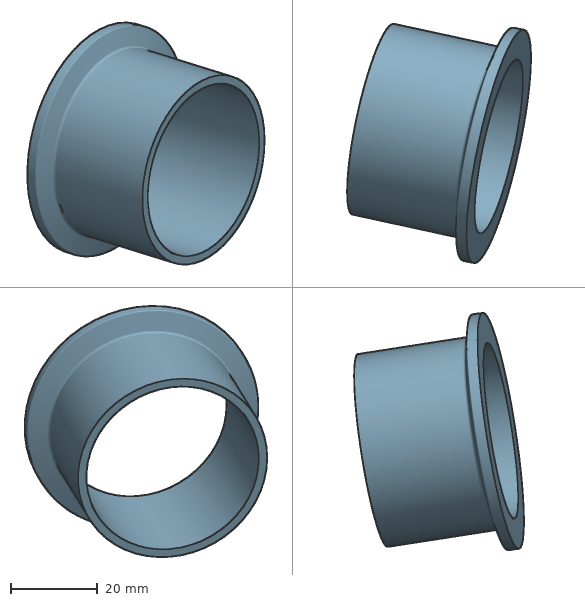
import cadquery as cq
import math

length = 30.0
flange_diameter = 55
tube_diameter = 45.0
bore_diameter = 41.0

rim_width = 2.55
cone_angle = 15
rim_fillet = 0.35
root_fillet = 0.55

flange_radius = flange_diameter / 2
tube_radius = tube_diameter / 2
bore_radius = bore_diameter / 2
cone_end = rim_width + (flange_radius - tube_radius) * math.tan(math.radians(cone_angle))


def flanged_tube():
    """Revolve the half section (axial X, radial Y) about the X axis."""
    section = (
        cq.Workplane("XY")
        .moveTo(0, bore_radius)
        .lineTo(0, flange_radius)
        .lineTo(rim_width, flange_radius)
        .lineTo(cone_end, tube_radius)
        .lineTo(length, tube_radius)
        .lineTo(length, bore_radius)
        .close()
    )
    return section.revolve(360, (0, 0, 0), (1, 0, 0))


def round_circle(body, axial_place, fillet_radius):
    """Fillet the circular edge that lies at the given place along X."""
    tolerance = 0.05
    around_edge = cq.selectors.BoxSelector(
        (axial_place - tolerance, -flange_radius, -flange_radius),
        (axial_place + tolerance, flange_radius, flange_radius),
    )
    return body.edges(around_edge).fillet(fillet_radius)


body = flanged_tube()
body = round_circle(body, cone_end, root_fillet)
result = round_circle(body, rim_width, rim_fillet)